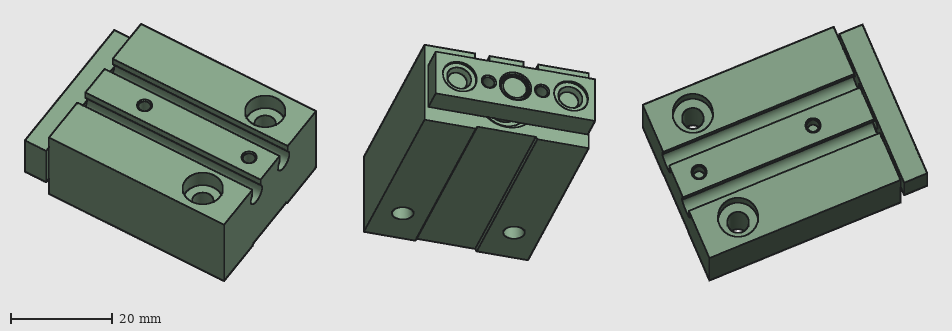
import cadquery as cq

total_length = 47.0
plate_thickness = 5.0
plate_gap = 1.0
housing_front = plate_thickness + plate_gap
housing_length = total_length - housing_front
housing_width = 34.0
housing_height = 18.0
axis_height = 7.5

plate_width = 33.0
plate_height = 10.0
plate_hole_offset = 5.5
plate_hole_diameter = 2.45
tapped_mouth_diameter = 3.0

rod_diameter = 6.0
guide_offset = 11.5
rod_end = 33.85
guide_recess_diameter = 7.0
guide_recess_depth = 0.5
socket_mouth_diameter = 5.0
socket_floor_diameter = 4.0
socket_depth = 1.18
ring_mouth_diameter = 6.6
ring_depth = 0.9
nose_setback = 0.45
nose_diameter = 5.5
nose_chamfer = 0.35

collar_diameter = 11.8
collar_depth = 1.5
bore_diameter = 9.2
bore_depth = 2.55

slot_offset = 5.05
slot_width = 3.0
slot_round_diameter = 4.2
slot_round_depth = 3.2

relief_depth = 0.5
relief_mouth_width = 12.75
relief_floor_width = 12.1

mount_x = 38.55
mount_diameter = 4.3
mount_head_diameter = 8.0
mount_head_depth = 4.0
top_tapped_positions = (17.6, 42.05)
top_tapped_depth = 4.25
top_tapped_diameter = 2.45


def rod_cylinder(diameter, start, end, y=0.0):
    """Cylinder along X at the common rod height."""
    origin = cq.Vector(start, y, axis_height)
    return cq.Workplane(cq.Solid.makeCylinder(diameter / 2, end - start, origin, cq.Vector(1, 0, 0)))


def cone(start_diameter, end_diameter, length, origin, direction):
    """Cone from its mouth at the origin, along the given direction."""
    return cq.Workplane(
        cq.Solid.makeCone(
            start_diameter / 2, end_diameter / 2, length, cq.Vector(*origin), cq.Vector(*direction)
        )
    )


def rod_cone(start_diameter, end_diameter, length, start, y=0.0):
    """Cone along X at the common rod height."""
    return cone(start_diameter, end_diameter, length, (start, y, axis_height), (1, 0, 0))


def top_hole(x, y, diameter, depth):
    """Vertical cylinder that cuts down from the top of the housing."""
    origin = cq.Vector(x, y, housing_height)
    return cq.Workplane(cq.Solid.makeCylinder(diameter / 2, depth, origin, cq.Vector(0, 0, -1)))


def sensor_slot(y):
    """Round-bottomed slot along the full housing, open at the top through a narrower neck."""
    round_z = housing_height - slot_round_depth
    round_part = (
        cq.Workplane("YZ", origin=(housing_front, y, round_z))
        .circle(slot_round_diameter / 2)
        .extrude(housing_length)
    )
    neck = cq.Workplane("XY").box(housing_length, slot_width, slot_round_depth, centered=(False, True, False))
    return round_part.union(neck.translate((housing_front, y, round_z)))


def bottom_relief():
    """Shallow channel with sloped sides along the bottom."""
    return (
        cq.Workplane("YZ", origin=(housing_front, 0, 0))
        .moveTo(-relief_mouth_width / 2, 0)
        .lineTo(relief_mouth_width / 2, 0)
        .lineTo(relief_floor_width / 2, relief_depth)
        .lineTo(-relief_floor_width / 2, relief_depth)
        .close()
        .extrude(housing_length)
    )


def make_housing():
    body = cq.Workplane("XY").box(housing_length, housing_width, housing_height, centered=(False, True, False))
    body = body.translate((housing_front, 0, 0)).cut(bottom_relief())

    body = body.cut(rod_cylinder(collar_diameter, housing_front, housing_front + collar_depth))
    body = body.cut(rod_cylinder(bore_diameter, housing_front, housing_front + bore_depth))
    body = body.cut(rod_cylinder(rod_diameter, housing_front, rod_end))

    for side in (-1, 1):
        guide_y = side * guide_offset
        body = body.cut(rod_cylinder(rod_diameter, housing_front, rod_end, guide_y))
        body = body.cut(top_hole(mount_x, guide_y, mount_head_diameter, mount_head_depth))
        body = body.cut(top_hole(mount_x, guide_y, mount_diameter, housing_height))
        body = body.cut(sensor_slot(side * slot_offset))

    mouth_depth = (tapped_mouth_diameter - top_tapped_diameter) / 2
    for x in top_tapped_positions:
        mouth = (x, 0, housing_height)
        body = body.cut(top_hole(x, 0, top_tapped_diameter, top_tapped_depth))
        body = body.cut(cone(tapped_mouth_diameter, top_tapped_diameter, mouth_depth, mouth, (0, 0, -1)))
    return body


def make_slide():
    plate = cq.Workplane("XY").box(plate_thickness, plate_width, plate_height, centered=(False, True, True))
    slide = plate.translate((0, 0, axis_height))

    slide = slide.union(rod_cylinder(rod_diameter, plate_thickness, rod_end))
    mouth_depth = (ring_mouth_diameter - rod_diameter) / 2
    slide = slide.cut(rod_cylinder(rod_diameter, 0, ring_depth))
    slide = slide.cut(rod_cone(ring_mouth_diameter, rod_diameter, mouth_depth, 0))
    nose = rod_cylinder(nose_diameter, nose_setback, ring_depth).faces("<X").chamfer(nose_chamfer)
    slide = slide.union(nose)

    hole_mouth_depth = (tapped_mouth_diameter - plate_hole_diameter) / 2
    for side in (-1, 1):
        guide_y = side * guide_offset
        slide = slide.union(rod_cylinder(rod_diameter, plate_thickness, rod_end, guide_y))
        slide = slide.cut(rod_cylinder(guide_recess_diameter, 0, guide_recess_depth, guide_y))
        socket = rod_cone(
            socket_mouth_diameter, socket_floor_diameter, socket_depth, guide_recess_depth, guide_y
        )
        slide = slide.cut(socket)

        hole_y = side * plate_hole_offset
        slide = slide.cut(rod_cylinder(plate_hole_diameter, 0, plate_thickness, hole_y))
        slide = slide.cut(
            rod_cone(tapped_mouth_diameter, plate_hole_diameter, hole_mouth_depth, 0, hole_y)
        )
    return slide


housing = make_housing()
slide = make_slide()
result = cq.Compound.makeCompound([housing.val(), slide.val()])